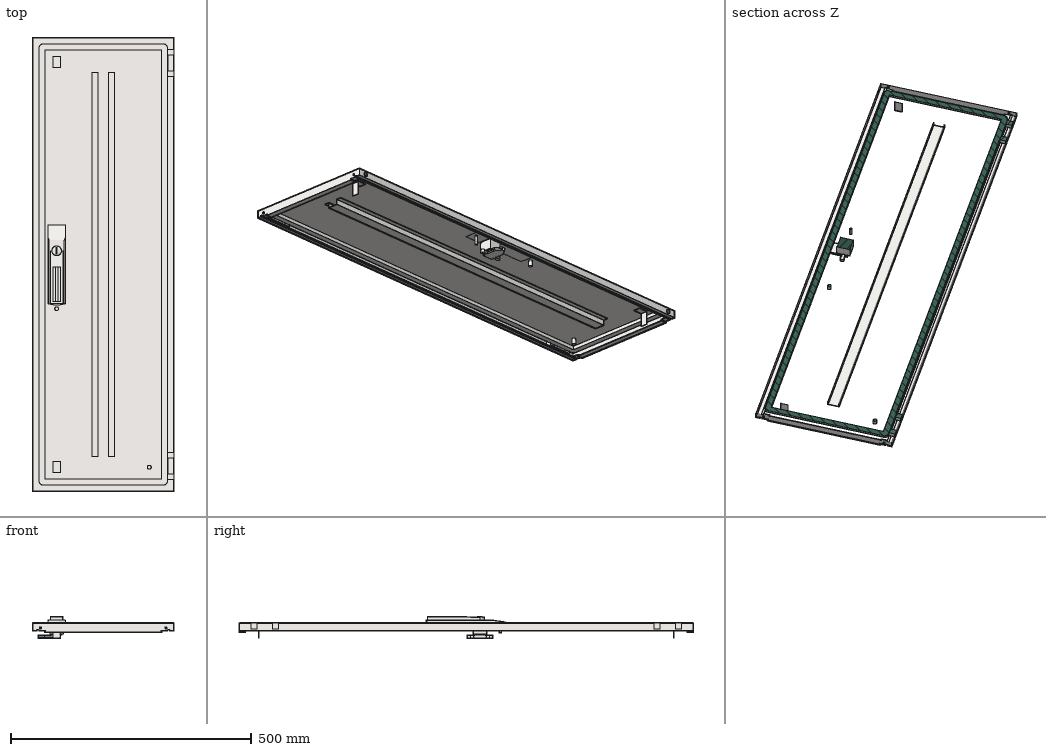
import cadquery as cq

DOOR_WIDTH = 295.0
DOOR_LENGTH = 946.0
SHEET = 1.5
BEND_RADIUS = 2.0
SIDE_DEPTH = 17.5
END_DEPTH = 20.5
END_LIP_WIDTH = 244.0
LIP = 14.0

SIDE_HOLE_DIAMETER = 9.0
END_HOLE_DIAMETER = 4.0
SIDE_HOLE_DEPTH = 9.0
END_HOLE_DEPTH = 10.5
SIDE_HOLE_Y = 453.0
END_HOLE_X = 130.5
RELIEF_X = 136.0
RELIEF_WIDTH = 4.0
RELIEF_HEIGHT = 2.5

GASKET_WIDTH = 12.5
GASKET_THICKNESS = 8.0
GASKET_CORNER = 8.0
GASKET_LENGTH = DOOR_LENGTH - 2 * LIP
GASKET_SPAN = DOOR_WIDTH - 2 * LIP

HAT_LENGTH = 800.0
HAT_WIDTH = 46.0
HAT_FOOT = 10.5
HAT_HEIGHT = 13.0

GUIDE_X = -97.0
GUIDE_WIDTH = 16.0
GUIDE_LENGTH = 22.0
GUIDE_Y = 432.5
GUIDE_BOTTOM = 32.0
HINGE_START_Y = 391.0
HINGE_LENGTH = 57.0
HINGE_EAR = 12.0
HINGE_HEIGHT = 12.0
STUD_DIAMETER = 8.0
STUD_LENGTH = 12.0
STUD_PLACES = [(96.0, -422.0), (-97.0, -92.0)]

LOCK_X = -97.0
LOCK_Y = 28.5
BASE_WIDTH = 37.0
BASE_TOP_Y = 82.0
BASE_END_Y = -84.0
BASE_CORNER = 2.5
BASE_HEIGHT = 6.0
BASE_NOSE_HEIGHT = 1.5
BASE_RAMP_Y = 50.0
BASE_BEVEL_WIDTH = 2.8
BASE_BEVEL_DROP = 1.0
GRIP_WIDTH = 25.6
GRIP_HEIGHT = 12.76
GRIP_START_DROP = 2.0
GRIP_END_Y = -81.0
RECESS_WIDTH = 16.0
RECESS_START_Y = -5.5
RECESS_END_Y = -77.5
RECESS_DEPTH = 3.0
RIB_WIDTH = 5.0
RIB_DROP = 1.5
CYLINDER_DIAMETER = 20.0
CYLINDER_DOME = 1.3
KEY_SLOT_WIDTH = 2.0
KEY_SLOT_LENGTH = 14.0
KEY_SLOT_DEPTH = 2.0
LOCK_BODY = 28.5
LOCK_BODY_DEPTH = 24.0
HUB_DIAMETER = 22.0
SCREW_DIAMETER = 5.0
SCREW_Y = 71.0
SCREW_DEPTH = 21.0
LEVER_TOP = 26.0
LEVER_BOTTOM = 32.75
LEVER_TIP_X = -135.5
LEVER_BACK_X = -88.5
LEVER_WIDTH = 27.0
LEVER_TIP_WIDTH = 8.0
LEVER_TAPER = 13.0
LEVER_STEP = 1.0
PIN_DIAMETER = 8.5
PIN_SPACING = 45.0
CROSSBAR_WIDTH = 6.0


def box(x0, x1, y0, y1, z0, z1):
    """Axis-aligned block between two opposite corners."""
    return cq.Workplane("XY").box(x1 - x0, y1 - y0, z1 - z0, centered=False).translate((x0, y0, z0))


def centred_box(width, length, top, bottom):
    return box(-width / 2, width / 2, -length / 2, length / 2, bottom, top)


def tray():
    inner_width = DOOR_WIDTH - 2 * SHEET
    inner_length = DOOR_LENGTH - 2 * SHEET
    opening_width = DOOR_WIDTH - 2 * LIP
    opening_length = DOOR_LENGTH - 2 * LIP
    shell = centred_box(DOOR_WIDTH, DOOR_LENGTH, 0, -SIDE_DEPTH).faces(">Z").edges().fillet(BEND_RADIUS)
    shell = shell.union(centred_box(END_LIP_WIDTH, DOOR_LENGTH, -SIDE_DEPTH, -END_DEPTH))
    shell = shell.cut(centred_box(inner_width, inner_length, -SHEET, SHEET - SIDE_DEPTH))
    shell = shell.cut(centred_box(END_LIP_WIDTH - 2 * SHEET, inner_length, -SHEET, SHEET - END_DEPTH))
    return shell.cut(centred_box(opening_width, opening_length, -SHEET, -END_DEPTH))


def cut_wall_holes(door):
    side_holes = (
        cq.Workplane("YZ", origin=(-DOOR_WIDTH / 2, 0, 0))
        .pushPoints([(-SIDE_HOLE_Y, -SIDE_HOLE_DEPTH), (SIDE_HOLE_Y, -SIDE_HOLE_DEPTH)])
        .circle(SIDE_HOLE_DIAMETER / 2)
        .extrude(SHEET)
    )
    end_holes = (
        cq.Workplane("XZ")
        .pushPoints([(-END_HOLE_X, -END_HOLE_DEPTH), (END_HOLE_X, -END_HOLE_DEPTH)])
        .circle(END_HOLE_DIAMETER / 2)
        .extrude(DOOR_LENGTH, both=True)
    )
    reliefs = (
        cq.Workplane("XZ")
        .pushPoints([(-RELIEF_X, -SIDE_DEPTH), (RELIEF_X, -SIDE_DEPTH)])
        .rect(RELIEF_WIDTH, 2 * RELIEF_HEIGHT)
        .extrude(DOOR_LENGTH, both=True)
    )
    return door.cut(side_holes).cut(end_holes).cut(reliefs)


def stiffener():
    outer = HAT_WIDTH / 2
    web = outer - HAT_FOOT
    top = -SHEET
    foot = top - SHEET
    roof = top - HAT_HEIGHT
    profile = [
        (-outer, top), (-web + SHEET, top), (-web + SHEET, roof + SHEET),
        (web - SHEET, roof + SHEET), (web - SHEET, top), (outer, top),
        (outer, foot), (web, foot), (web, roof), (-web, roof), (-web, foot), (-outer, foot),
    ]
    return cq.Workplane("XZ").polyline(profile).close().extrude(HAT_LENGTH / 2, both=True)


def rod_guide(side):
    left = GUIDE_X - GUIDE_WIDTH / 2
    right = GUIDE_X + GUIDE_WIDTH / 2
    foot = box(left, right, GUIDE_Y - GUIDE_LENGTH, GUIDE_Y, -2 * SHEET, -SHEET)
    leg = box(left, right, GUIDE_Y - SHEET, GUIDE_Y, -GUIDE_BOTTOM, -SHEET)
    guide = foot.union(leg)
    return guide if side > 0 else guide.mirror("XZ")


def hinge_bracket(side):
    inner = DOOR_WIDTH / 2 - LIP
    outer = DOOR_WIDTH / 2 - SHEET
    end = HINGE_START_Y + HINGE_LENGTH
    bottom = -SHEET - HINGE_HEIGHT
    bracket = box(inner, outer, HINGE_START_Y, end, bottom, -SHEET)
    gap = box(inner + SHEET, outer, HINGE_START_Y + HINGE_EAR, end - HINGE_EAR, bottom, -SHEET)
    bracket = bracket.cut(gap)
    return bracket if side > 0 else bracket.mirror("XZ")


def make_door():
    door = cut_wall_holes(tray()).union(stiffener())
    for side in (-1, 1):
        door = door.union(rod_guide(side)).union(hinge_bracket(side))
    studs = (
        cq.Workplane("XY", origin=(0, 0, -SHEET))
        .pushPoints(STUD_PLACES)
        .circle(STUD_DIAMETER / 2)
        .extrude(-STUD_LENGTH)
    )
    half = LOCK_BODY / 2
    lock_opening = box(LOCK_X - half, LOCK_X + half, LOCK_Y - half, LOCK_Y + half, -SHEET, 0)
    screw_hole = cq.Workplane("XY", origin=(LOCK_X, SCREW_Y, 0)).circle(SCREW_DIAMETER / 2).extrude(-SHEET)
    return door.union(studs).cut(lock_opening).cut(screw_hole)


def make_gasket():
    frame = (
        cq.Workplane("XY", origin=(0, 0, -SHEET))
        .rect(GASKET_SPAN, GASKET_LENGTH)
        .extrude(-GASKET_THICKNESS)
        .edges("|Z")
        .fillet(GASKET_CORNER)
    )
    opening = centred_box(
        GASKET_SPAN - 2 * GASKET_WIDTH, GASKET_LENGTH - 2 * GASKET_WIDTH, -SHEET, -SHEET - GASKET_THICKNESS
    )
    return frame.cut(opening)


def handle_base():
    """Base on the door face: ramped at the +Y end, three-sided at the -Y end."""
    half = BASE_WIDTH / 2
    third = BASE_WIDTH / 6
    outline = [
        (LOCK_X - half, BASE_TOP_Y),
        (LOCK_X - half, BASE_END_Y + BASE_CORNER),
        (LOCK_X - third, BASE_END_Y),
        (LOCK_X + third, BASE_END_Y),
        (LOCK_X + half, BASE_END_Y + BASE_CORNER),
        (LOCK_X + half, BASE_TOP_Y),
    ]
    base = cq.Workplane("XY").polyline(outline).close().extrude(BASE_HEIGHT)
    above_ramp = [
        (BASE_RAMP_Y, BASE_HEIGHT),
        (BASE_TOP_Y, BASE_NOSE_HEIGHT),
        (BASE_TOP_Y, BASE_HEIGHT),
    ]
    ramp = cq.Workplane("YZ", origin=(LOCK_X, 0, 0)).polyline(above_ramp).close().extrude(half, both=True)
    base = base.cut(ramp)
    for side in (-1, 1):
        edge = LOCK_X + side * half
        corner = [
            (edge, BASE_HEIGHT),
            (edge - side * BASE_BEVEL_WIDTH, BASE_HEIGHT),
            (edge, BASE_HEIGHT - BASE_BEVEL_DROP),
        ]
        bevel = cq.Workplane("XZ").polyline(corner).close().extrude(BASE_TOP_Y - BASE_END_Y, both=True)
        base = base.cut(bevel)
    return base


def grip():
    """Raised grip with a ribbed finger recess."""
    side = [
        (LOCK_Y, BASE_HEIGHT),
        (LOCK_Y, GRIP_HEIGHT - GRIP_START_DROP),
        (RECESS_START_Y, GRIP_HEIGHT),
        (GRIP_END_Y, GRIP_HEIGHT),
        (GRIP_END_Y, BASE_HEIGHT),
    ]
    bar = cq.Workplane("YZ", origin=(LOCK_X, 0, 0)).polyline(side).close().extrude(GRIP_WIDTH / 2, both=True)
    recess_half = RECESS_WIDTH / 2
    floor = GRIP_HEIGHT - RECESS_DEPTH
    left = LOCK_X - recess_half
    right = LOCK_X + recess_half
    bar = bar.cut(box(left, right, RECESS_END_Y, RECESS_START_Y, floor, GRIP_HEIGHT))
    rib_half = RIB_WIDTH / 2
    rib_top = GRIP_HEIGHT - RIB_DROP
    return bar.union(box(LOCK_X - rib_half, LOCK_X + rib_half, RECESS_END_Y, RECESS_START_Y, floor, rib_top))


def tongue_layer(inset, bottom, top):
    """One layer of the tongue, tapering to a narrow tip toward the -X wall."""
    half = LEVER_WIDTH / 2 - inset
    tip_half = LEVER_TIP_WIDTH / 2 - inset
    shoulder_x = LEVER_TIP_X + LEVER_TAPER
    outline = [
        (LEVER_TIP_X, LOCK_Y - tip_half),
        (shoulder_x, LOCK_Y - half),
        (LEVER_BACK_X, LOCK_Y - half),
        (LEVER_BACK_X, LOCK_Y + half),
        (shoulder_x, LOCK_Y + half),
        (LEVER_TIP_X, LOCK_Y + tip_half),
    ]
    return cq.Workplane("XY", origin=(0, 0, bottom)).polyline(outline).close().extrude(top - bottom)


def lever():
    """Cam lever: tongue toward the -X wall, crossed by a bar with a pin at each end."""
    middle = -(LEVER_TOP + LEVER_BOTTOM) / 2
    tongue = tongue_layer(0, middle, -LEVER_TOP).union(tongue_layer(LEVER_STEP, -LEVER_BOTTOM, middle))
    reach = PIN_SPACING / 2
    bar = box(
        LOCK_X - CROSSBAR_WIDTH / 2, LOCK_X + CROSSBAR_WIDTH / 2, LOCK_Y - reach, LOCK_Y + reach,
        -LEVER_BOTTOM, -LEVER_TOP,
    )
    pins = (
        cq.Workplane("XY", origin=(LOCK_X, LOCK_Y, -LEVER_BOTTOM))
        .pushPoints([(0, -reach), (0, reach)])
        .circle(PIN_DIAMETER / 2)
        .extrude(LEVER_BOTTOM - LEVER_TOP)
    )
    return tongue.union(bar).union(pins)


def key_cylinder():
    """Round key cylinder with a domed face."""
    radius = CYLINDER_DIAMETER / 2
    dome_radius = (radius**2 + CYLINDER_DOME**2) / (2 * CYLINDER_DOME)
    barrel = cq.Workplane("XY").circle(radius).extrude(GRIP_HEIGHT)
    ball = cq.Workplane("XY", origin=(0, 0, GRIP_HEIGHT - dome_radius)).sphere(dome_radius)
    return barrel.intersect(ball).translate((LOCK_X, LOCK_Y, 0))


def make_lock():
    half = LOCK_BODY / 2
    body = box(LOCK_X - half, LOCK_X + half, LOCK_Y - half, LOCK_Y + half, -LOCK_BODY_DEPTH, BASE_HEIGHT)
    hub = cq.Workplane("XY", origin=(LOCK_X, LOCK_Y, -LEVER_TOP)).circle(HUB_DIAMETER / 2).extrude(LEVER_TOP)
    screw = cq.Workplane("XY", origin=(LOCK_X, SCREW_Y, 0)).circle(SCREW_DIAMETER / 2).extrude(-SCREW_DEPTH)
    slot = box(
        LOCK_X - KEY_SLOT_WIDTH / 2, LOCK_X + KEY_SLOT_WIDTH / 2,
        LOCK_Y - KEY_SLOT_LENGTH / 2, LOCK_Y + KEY_SLOT_LENGTH / 2,
        GRIP_HEIGHT - KEY_SLOT_DEPTH, GRIP_HEIGHT,
    )
    handle = handle_base().union(grip()).union(key_cylinder()).cut(slot)
    return handle.union(body).union(screw).union(hub).union(lever())


door = make_door()
gasket = make_gasket()
lock = make_lock()
result = cq.Compound.makeCompound([door.val(), gasket.val(), lock.val()])